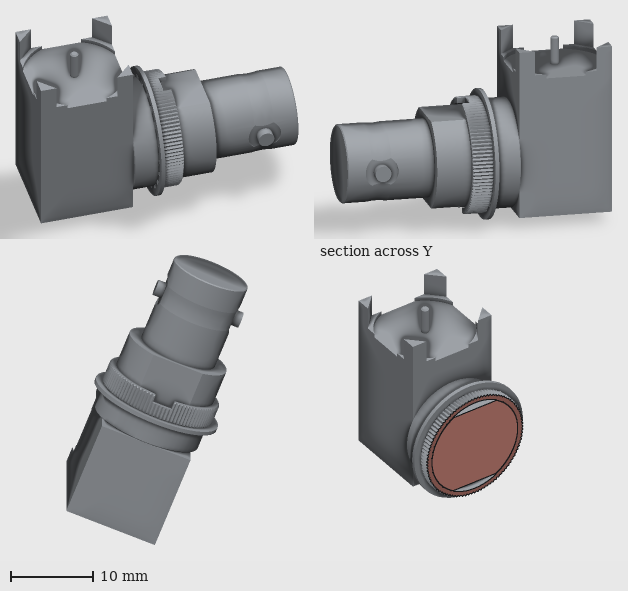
import cadquery as cq
import math


block_side = 11.6
block_bottom = -6.68
washer_diameter = 16.0
overall_height = 22.3
post_top = overall_height - washer_diameter / 2
post_leg = 1.95
post_height = 2.98
recess_diameter = 12.58
recess_depth = 0.5
shelf_level = post_top - post_height
floor_level = shelf_level - recess_depth
block_front = block_side / 2

insulator_diameter = 7.35
insulator_bottom = 0
pin_diameter = 1.0
pin_chamfer = 0.15

collar_diameter = 13.5
collar_length = 3.0
collar_chamfer = 0.1
collar_end = block_front + collar_length
neck_diameter = 12.75
neck_end = 16.18
neck_flat_span = 11.0
shell_diameter = 9.65
overall_length = 32.75
shell_end = overall_length - block_side / 2
shell_chamfer = 0.13

stud_place = 22.7
stud_diameter = 1.95
stud_span = 11.15
spot_diameter = 4.1
spot_span = 9.05
groove_width = 2.45
groove_depth = 0.1

washer_thickness = 0.5
washer_end = collar_end + washer_thickness
tooth_count = 20
notch_width = 1.0
notch_diameter = 14.2

nut_diameter = 14.35
nut_thickness = 2.6
nut_end = washer_end + nut_thickness
nut_chamfer = 0.15
knurl_count = 96
knurl_depth = 0.23
wrench_slot_width = 2.45
wrench_slot_depth = 0.98


def cylinder_y(diameter, start, end):
    """Cylinder on the connector axis between two Y positions."""
    plane = cq.Workplane("XZ", origin=(0, start, 0))
    return plane.circle(diameter / 2).extrude(start - end)


def cylinder_z(diameter, bottom, top):
    """Cylinder on the pin axis between two heights."""
    return cq.Workplane("XY").workplane(offset=bottom).circle(diameter / 2).extrude(top - bottom)


def make_block():
    """Square block with triangular corner posts around a round recess."""
    half = block_side / 2
    inner = half - post_leg
    block_height = post_top - block_bottom
    block = (
        cq.Workplane("XY")
        .workplane(offset=block_bottom)
        .rect(block_side, block_side)
        .extrude(block_height)
    )
    between_posts = (
        cq.Workplane("XY")
        .workplane(offset=shelf_level)
        .polyline([
            (half, inner), (inner, half), (-inner, half), (-half, inner),
            (-half, -inner), (-inner, -half), (inner, -half), (half, -inner),
        ])
        .close()
        .extrude(post_height)
    )
    recess = cylinder_z(recess_diameter, floor_level, shelf_level)
    insulator_hole = cylinder_z(insulator_diameter, insulator_bottom, floor_level)
    return block.cut(between_posts).cut(recess).cut(insulator_hole)


def make_neck():
    """Round neck with a flat on its top and bottom."""
    length = neck_end - collar_end
    flats = cq.Workplane("XY").box(neck_diameter, length, neck_flat_span)
    flats = flats.translate((0, collar_end + length / 2, 0))
    return cylinder_y(neck_diameter, collar_end, neck_end).intersect(flats)


def make_shell():
    """Bayonet shell with a shallow round-bottomed groove and two studs."""
    radius = shell_diameter / 2
    shell = cylinder_y(shell_diameter, neck_end, shell_end).faces(">Y").chamfer(shell_chamfer)
    groove = (
        cq.Workplane("XY")
        .moveTo(radius, stud_place - groove_width / 2)
        .threePointArc(
            (radius - groove_depth, stud_place),
            (radius, stud_place + groove_width / 2),
        )
        .close()
        .revolve(360, (0, 0, 0), (0, 1, 0))
    )
    shell = shell.cut(groove)
    spot_depth = (shell_diameter - spot_span) / 2
    for side in (-1, 1):
        spot_plane = cq.Workplane("YZ", origin=(side * spot_span / 2, stud_place, 0))
        shell = shell.cut(spot_plane.circle(spot_diameter / 2).extrude(side * spot_depth))
    studs = (
        cq.Workplane("YZ", origin=(0, stud_place, 0))
        .circle(stud_diameter / 2)
        .extrude(stud_span / 2, both=True)
    )
    return shell.union(studs)


def make_housing():
    """Block, collar, neck and bayonet shell in one piece."""
    collar = cylinder_y(collar_diameter, block_front, collar_end).faces("<Y or >Y").chamfer(collar_chamfer)
    return make_block().union(collar).union(make_neck()).union(make_shell())


def make_insulator():
    """Plug that fills the hole in the block, flush with the recess floor."""
    plug = cylinder_z(insulator_diameter, insulator_bottom, floor_level)
    return plug.cut(cylinder_z(pin_diameter, insulator_bottom, floor_level))


def make_pin():
    """Contact pin through the insulator, level with the post tops."""
    pin = cylinder_z(pin_diameter, insulator_bottom, post_top)
    return pin.faces(">Z").chamfer(pin_chamfer)


def make_washer():
    """Flat washer whose bore is notched into a ring of inner teeth."""
    washer = cylinder_y(washer_diameter, collar_end, washer_end)
    washer = washer.cut(cylinder_y(neck_diameter, collar_end, washer_end))
    pitch = 360 / tooth_count
    notch_reach = notch_diameter / 2
    for index in range(tooth_count):
        notch = (
            cq.Workplane("XY")
            .box(notch_reach, washer_thickness, notch_width)
            .translate((notch_reach / 2, collar_end + washer_thickness / 2, 0))
            .rotate((0, 0, 0), (0, 1, 0), (index + 0.5) * pitch)
        )
        washer = washer.cut(notch)
    return washer


def make_nut():
    """Ring nut with a V-knurled rim and a wrench slot across its outer face."""
    tip_radius = nut_diameter / 2
    root_radius = tip_radius - knurl_depth
    rim_points = []
    for step in range(2 * knurl_count):
        angle = math.pi * step / knurl_count
        radius = root_radius if step % 2 else tip_radius
        rim_points.append((radius * math.cos(angle), radius * math.sin(angle)))
    rim = (
        cq.Workplane("XZ", origin=(0, washer_end, 0))
        .polyline(rim_points)
        .close()
        .extrude(-nut_thickness)
    )
    envelope = cylinder_y(nut_diameter, washer_end, nut_end).faces("<Y or >Y").chamfer(nut_chamfer)
    bore = cylinder_y(neck_diameter, washer_end, nut_end)
    wrench_slot = (
        cq.Workplane("XY")
        .box(wrench_slot_width, wrench_slot_depth, nut_diameter)
        .translate((0, nut_end - wrench_slot_depth / 2, 0))
    )
    return rim.intersect(envelope).cut(bore).cut(wrench_slot)


housing = make_housing()
insulator = make_insulator()
pin = make_pin()
washer = make_washer()
nut = make_nut()

result = cq.Compound.makeCompound([
    housing.val(),
    insulator.val(),
    pin.val(),
    washer.val(),
    nut.val(),
])